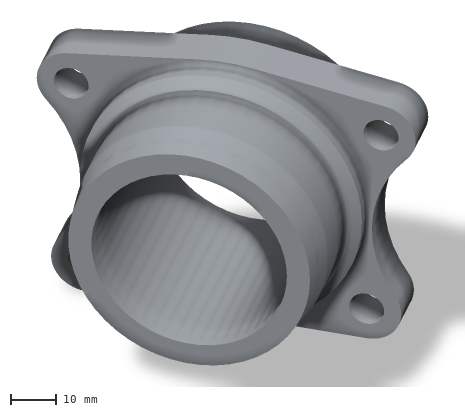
import cadquery as cq
import math


flange_thickness = 10.0
back_end = 21.9
front_end = -28.9
taper_start = -19.5
collar_chamfer_start = -4.0

bore_radius = 22.6
back_radius = 30.25
collar_radius = 32.5
neck_radius = 29.2
tip_radius = 27.9
collar_chamfer = 2.4

back_chamfer = 0.5
back_root_fillet = 0.5
collar_root_fillet = 1.2
neck_root_fillet = 1.0

flange_width = 87.4
flange_half_height = 33.9
lug_radius = 8.0
bolt_hole_radius = 4.0
upper_lug = (flange_width / 2 - lug_radius, 21.3)
lower_lug = (32.4, lug_radius - flange_half_height)
crown_radius = 47.2
waist_radius = 30.0


def polar(center, radius, angle):
    return (center[0] + radius * math.cos(angle), center[1] + radius * math.sin(angle))


def direction(start, end):
    return math.atan2(end[1] - start[1], end[0] - start[0])


def mirrored(point):
    return (-point[0], point[1])


def make_flange():
    crown_center = (0, flange_half_height - crown_radius)
    crown_to_lug = math.dist(crown_center, upper_lug)
    shoulder_normal = direction(crown_center, upper_lug) + math.acos(
        (crown_radius - lug_radius) / crown_to_lug
    )
    shoulder_top = polar(crown_center, crown_radius, shoulder_normal)
    shoulder_end = polar(upper_lug, lug_radius, shoulder_normal)

    lug_spacing = math.dist(upper_lug, lower_lug)
    waist_reach = waist_radius + lug_radius
    waist_center = polar(
        upper_lug,
        waist_reach,
        direction(upper_lug, lower_lug) + math.acos(lug_spacing / 2 / waist_reach),
    )
    upper_tangent = polar(upper_lug, lug_radius, direction(upper_lug, waist_center))
    lower_tangent = polar(lower_lug, lug_radius, direction(lower_lug, waist_center))
    waist_middle = (waist_center[0] - waist_radius, waist_center[1])

    upper_tip = (upper_lug[0] + lug_radius, upper_lug[1])
    lower_tip = (lower_lug[0] + lug_radius, lower_lug[1])
    base_end = (lower_lug[0], -flange_half_height)

    return (
        cq.Workplane("XZ")
        .moveTo(*mirrored(shoulder_top))
        .threePointArc((0, flange_half_height), shoulder_top)
        .lineTo(*shoulder_end)
        .threePointArc(upper_tip, upper_tangent)
        .threePointArc(waist_middle, lower_tangent)
        .threePointArc(lower_tip, base_end)
        .lineTo(*mirrored(base_end))
        .threePointArc(mirrored(lower_tip), mirrored(lower_tangent))
        .threePointArc(mirrored(waist_middle), mirrored(upper_tangent))
        .threePointArc(mirrored(upper_tip), mirrored(shoulder_end))
        .close()
        .extrude(-flange_thickness)
    )


def make_tube():
    collar_end = collar_chamfer_start - collar_chamfer
    neck_root_center = (neck_radius + neck_root_fillet, collar_end - neck_root_fillet)
    collar_root_center = (collar_radius + collar_root_fillet, -collar_root_fillet)
    back_root_center = (back_radius + back_root_fillet, flange_thickness + back_root_fillet)
    front_root_middle = math.radians(135)
    back_root_middle = math.radians(225)

    return (
        cq.Workplane("XY")
        .moveTo(0, front_end)
        .lineTo(tip_radius, front_end)
        .lineTo(neck_radius, taper_start)
        .lineTo(neck_radius, neck_root_center[1])
        .threePointArc(
            polar(neck_root_center, neck_root_fillet, front_root_middle),
            (neck_root_center[0], collar_end),
        )
        .lineTo(collar_radius, collar_chamfer_start)
        .lineTo(collar_radius, collar_root_center[1])
        .threePointArc(
            polar(collar_root_center, collar_root_fillet, front_root_middle),
            (collar_root_center[0], 0),
        )
        .lineTo(back_root_center[0], flange_thickness)
        .threePointArc(
            polar(back_root_center, back_root_fillet, back_root_middle),
            (back_radius, back_root_center[1]),
        )
        .lineTo(back_radius, back_end - back_chamfer)
        .lineTo(back_radius - back_chamfer, back_end)
        .lineTo(0, back_end)
        .close()
        .revolve(360, (0, 0, 0), (0, 1, 0))
    )


def make_bolt_holes():
    centers = [upper_lug, mirrored(upper_lug), lower_lug, mirrored(lower_lug)]
    return (
        cq.Workplane("XZ")
        .pushPoints(centers)
        .circle(bolt_hole_radius)
        .extrude(-flange_thickness)
    )


def make_bore():
    return (
        cq.Workplane("XZ", origin=(0, back_end, 0))
        .circle(bore_radius)
        .extrude(back_end - front_end)
    )


result = make_flange().union(make_tube()).cut(make_bolt_holes()).cut(make_bore())